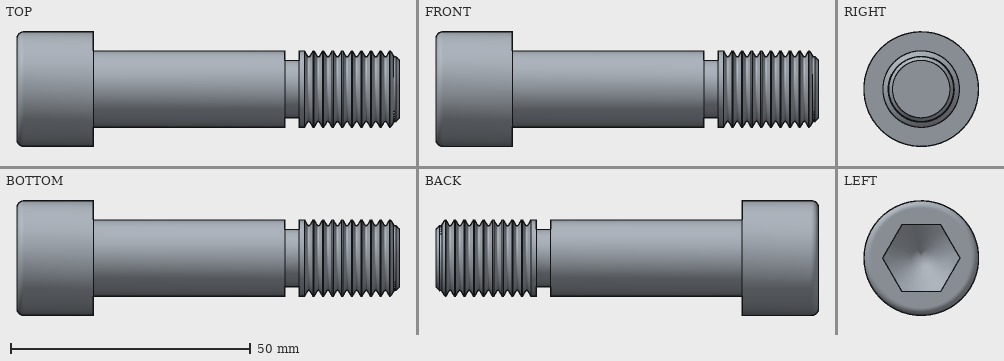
import cadquery as cq
import math

head_diameter = 24.0
head_length = 16.0
head_edge_radius = 1.5

shoulder_diameter = 16.0
shoulder_length = 40.0

neck_diameter = 12.0
neck_length = 3.0

overall_length = 80.0
end_chamfer = 2.0

thread_pitch = 2.0
groove_count = 10
crest_width = thread_pitch / 8
root_width = thread_pitch / 4
flank_angle = 30.0

socket_width = 14.0
socket_depth = 8.6
socket_cone_angle = 120.0

head_radius = head_diameter / 2
shoulder_radius = shoulder_diameter / 2
neck_radius = neck_diameter / 2
shoulder_end = head_length + shoulder_length
neck_end = shoulder_end + neck_length

mouth_width = thread_pitch - crest_width
flank_tangent = math.tan(math.radians(flank_angle))
flank_depth = (mouth_width - root_width) / 2 / flank_tangent
root_arc_radius = root_width / 2 / math.cos(math.radians(flank_angle))
root_arc_dip = root_arc_radius * (1 - math.sin(math.radians(flank_angle)))
first_groove_center = neck_end + thread_pitch


def rod(start, length, radius):
    """Cylinder on the X axis."""
    return cq.Workplane("YZ", origin=(start, 0, 0)).circle(radius).extrude(length)


def make_blank():
    head = rod(0, head_length, head_radius).faces("<X").edges().fillet(head_edge_radius)
    shoulder = rod(head_length, shoulder_length, shoulder_radius)
    neck = rod(shoulder_end, neck_length, neck_radius)
    threaded_end = rod(neck_end, overall_length - neck_end, shoulder_radius)
    threaded_end = threaded_end.faces(">X").edges().chamfer(end_chamfer)
    return head.union(shoulder).union(neck).union(threaded_end)


def make_thread_groove(center):
    """Round-bottomed ring that cuts one groove, centred at the given X."""
    flank_end_radius = shoulder_radius - flank_depth
    profile = (
        cq.Workplane("XZ")
        .moveTo(center - root_width / 2, flank_end_radius)
        .threePointArc(
            (center, flank_end_radius - root_arc_dip),
            (center + root_width / 2, flank_end_radius),
        )
        .lineTo(center + mouth_width / 2, shoulder_radius)
        .lineTo(center - mouth_width / 2, shoulder_radius)
        .close()
    )
    return profile.revolve(360, (0, 0, 0), (1, 0, 0))


def make_socket():
    """Hexagonal socket with corners along Y and a drilled conical bottom."""
    corner_radius = socket_width / math.sqrt(3)
    cone_height = corner_radius / math.tan(math.radians(socket_cone_angle / 2))
    socket_bottom = socket_depth + cone_height
    hexagon = cq.Workplane("YZ").polygon(6, 2 * corner_radius).extrude(socket_bottom)
    drill = (
        cq.Workplane("XZ")
        .polyline([(0, 0), (0, corner_radius), (socket_depth, corner_radius), (socket_bottom, 0)])
        .close()
        .revolve(360, (0, 0, 0), (1, 0, 0))
    )
    return hexagon.intersect(drill)


def cut_thread(blank):
    threaded = blank
    for index in range(groove_count):
        center = first_groove_center + index * thread_pitch
        threaded = threaded.cut(make_thread_groove(center))
    return threaded


result = cut_thread(make_blank()).cut(make_socket())